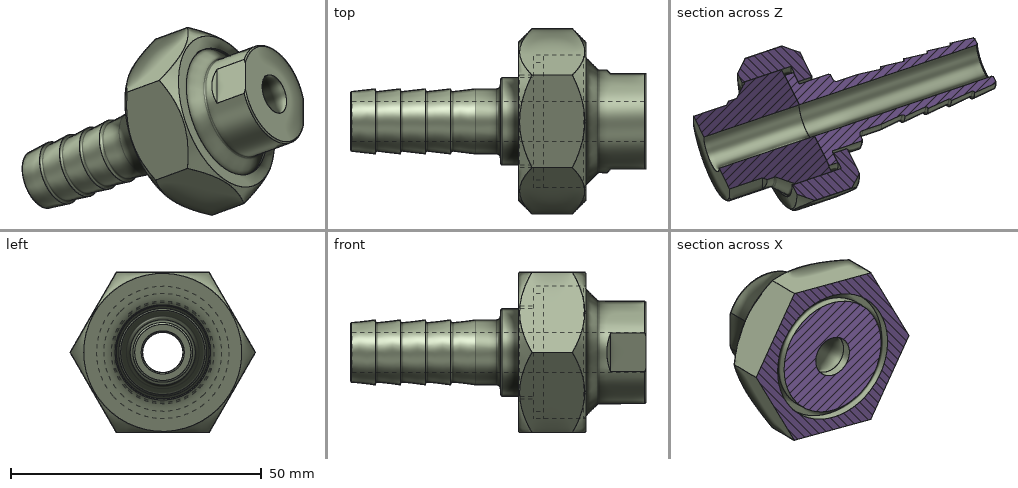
import cadquery as cq
import math


total_length = 59.0
collar_start = 29.9
nut_start = 33.5
nut_length = 13.5
nut_end = nut_start + nut_length
lip_thickness = 3.0
lip_end = nut_start + lip_thickness

bore_d = 8.0
hose_d = 13.0
barb_root_d = 11.9
barb_count = 5
barb_pitch = 5.0
barb_fillet = 0.35
last_barb_fillet = 0.5
tip_chamfer_length = 0.2
tip_chamfer_depth = 0.35
bore_chamfer = 0.3
neck_fillet = 0.75
collar_d = 17.5
collar_chamfer = 0.35
flange_d = 23.5
flange_thickness = 2.0
flange_end = lip_end + flange_thickness

nut_across_flats = 32.0
nut_bevel_d = 31.5
nut_hole_d = 18.5
nut_hole_chamfer = 0.25
thread_d = 26.4

socket_d = 20.5
cone_end = 49.42
cone_angle = math.radians(45)
shoulder_fillet = 0.5
socket_chamfer = 0.3
wrench_flat_width = 19.0
wrench_flat_start = 51.9


def revolve_about_x(outline):
    """Turn a closed outline, drawn as (x, radius), fully around the X axis."""
    return outline.close().revolve(360, (0, 0, 0), (1, 0, 0))


def make_hose_tail():
    bore_r = bore_d / 2
    hose_r = hose_d / 2
    root_r = barb_root_d / 2
    collar_r = collar_d / 2

    outline = (
        cq.Workplane("XY")
        .moveTo(0, bore_r + bore_chamfer)
        .lineTo(0, root_r - tip_chamfer_depth)
        .lineTo(tip_chamfer_length, root_r)
    )

    for barb in range(1, barb_count):
        crest_x = barb * barb_pitch
        fillet = last_barb_fillet if barb == barb_count - 1 else barb_fillet
        outline = (
            outline.lineTo(crest_x, hose_r)
            .lineTo(crest_x, root_r + fillet)
            .radiusArc((crest_x + fillet, root_r), -fillet)
        )

    outline = (
        outline.lineTo(barb_count * barb_pitch, hose_r)
        .lineTo(collar_start - neck_fillet, hose_r)
        .radiusArc((collar_start, hose_r + neck_fillet), -neck_fillet)
        .lineTo(collar_start, collar_r - collar_chamfer)
        .lineTo(collar_start + collar_chamfer, collar_r)
        .lineTo(lip_end, collar_r)
        .lineTo(lip_end, flange_d / 2)
        .lineTo(flange_end, flange_d / 2)
        .lineTo(flange_end, bore_r)
        .lineTo(bore_chamfer, bore_r)
    )
    return revolve_about_x(outline)


def make_union_nut():
    sides = 6
    corner_d = nut_across_flats / math.cos(math.pi / sides)
    bevel_r = nut_bevel_d / 2
    bevel = (corner_d - nut_bevel_d) / 2
    hole_r = nut_hole_d / 2

    hexagon = cq.Workplane("YZ", origin=(nut_start, 0, 0)).polygon(sides, corner_d).extrude(nut_length)

    turned_shape = revolve_about_x(
        cq.Workplane("XY")
        .moveTo(nut_start, hole_r + nut_hole_chamfer)
        .lineTo(nut_start, bevel_r)
        .lineTo(nut_start + bevel, bevel_r + bevel)
        .lineTo(nut_end - bevel, bevel_r + bevel)
        .lineTo(nut_end, bevel_r)
        .lineTo(nut_end, thread_d / 2)
        .lineTo(lip_end, thread_d / 2)
        .lineTo(lip_end, hole_r)
        .lineTo(nut_start + nut_hole_chamfer, hole_r)
    )
    return hexagon.intersect(turned_shape)


def make_socket():
    bore_r = bore_d / 2
    socket_r = socket_d / 2
    thread_r = thread_d / 2
    cone_start = cone_end - (thread_r - socket_r) / math.tan(cone_angle)

    tangent = shoulder_fillet * math.tan(cone_angle / 2)

    body = revolve_about_x(
        cq.Workplane("XY")
        .moveTo(flange_end, bore_r)
        .lineTo(flange_end, thread_r)
        .lineTo(cone_start, thread_r)
        .lineTo(cone_end - tangent * math.cos(cone_angle), socket_r + tangent * math.sin(cone_angle))
        .radiusArc((cone_end + tangent, socket_r), -shoulder_fillet)
        .lineTo(total_length - socket_chamfer, socket_r)
        .lineTo(total_length, socket_r - socket_chamfer)
        .lineTo(total_length, bore_r)
    )

    flat_y = wrench_flat_width / 2
    cut_depth = socket_r - flat_y
    for side in (1, -1):
        flat_cut = (
            cq.Workplane("XY")
            .moveTo(wrench_flat_start, side * flat_y)
            .lineTo(wrench_flat_start - cut_depth, side * socket_r)
            .lineTo(total_length, side * socket_r)
            .lineTo(total_length, side * flat_y)
            .close()
            .extrude(socket_r, both=True)
        )
        body = body.cut(flat_cut)
    return body


hose_tail = make_hose_tail()
union_nut = make_union_nut()
socket = make_socket()

result = cq.Compound.makeCompound([hose_tail.val(), union_nut.val(), socket.val()])